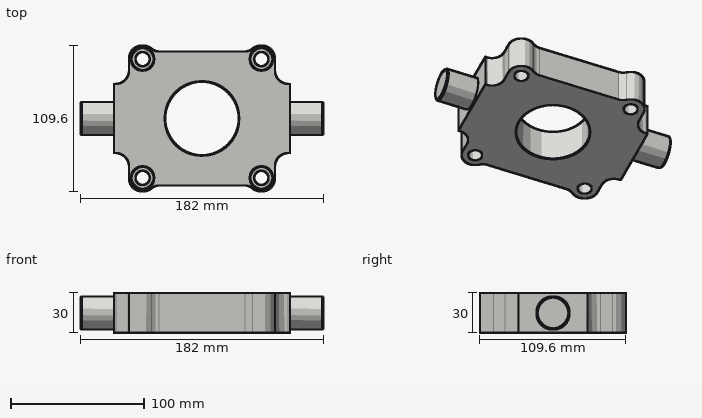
import cadquery as cq
import math

overall_length = 182.0
overall_width = 109.6

plate_length = 132.0
plate_width = 100.6
plate_thickness = 30.0
tab_width = 52.0

screw_spacing = 89.0
lug_offset = screw_spacing / 2
lug_edge = overall_width / 2
lug_radius = lug_edge - lug_offset
lug_blend_radius = 9.0
notch_radius = 9.8

screw_hole_diameter = 10.5
counterbore_diameter = 16.5
counterbore_depth = 11.0
counterbore_chamfer = 0.5

bore_diameter = 55.0
bore_chamfer = 0.5

pin_diameter = 25.0
pin_length = (overall_length - plate_length) / 2
pin_chamfer = 1.0


def point_on_circle(center, radius, angle):
    return (center[0] + radius * math.cos(angle), center[1] + radius * math.sin(angle))


def make_quarter():
    """Plate quarter at +X +Y, running from the tab end round the lug to the long side."""
    half_length = plate_length / 2
    half_width = plate_width / 2
    half_tab = tab_width / 2

    notch_center = (lug_edge + notch_radius, half_tab + notch_radius)
    notch_middle = point_on_circle(notch_center, notch_radius, math.radians(225))

    center_distance = lug_radius + lug_blend_radius
    blend_center_y = half_width + lug_blend_radius
    center_line_angle = math.pi - math.asin((blend_center_y - lug_offset) / center_distance)
    lug_center = (lug_offset, lug_offset)
    blend_center = point_on_circle(lug_center, center_distance, center_line_angle)
    lug_end = point_on_circle(lug_center, lug_radius, center_line_angle)
    lug_middle = point_on_circle(lug_center, lug_radius, center_line_angle / 2)
    blend_start_angle = center_line_angle - math.pi
    blend_middle_angle = (blend_start_angle - math.pi / 2) / 2
    blend_middle = point_on_circle(blend_center, lug_blend_radius, blend_middle_angle)

    return (
        cq.Workplane("XY", origin=(0, 0, -plate_thickness / 2))
        .lineTo(half_length, 0)
        .lineTo(half_length, half_tab)
        .lineTo(notch_center[0], half_tab)
        .threePointArc(notch_middle, (lug_edge, notch_center[1]))
        .lineTo(lug_edge, lug_offset)
        .threePointArc(lug_middle, lug_end)
        .threePointArc(blend_middle, (blend_center[0], half_width))
        .lineTo(0, half_width)
        .close()
        .extrude(plate_thickness)
    )


def make_plate():
    """Plate symmetric about X and Y, mirrored from one quarter."""
    quarter = make_quarter()
    half = quarter.union(quarter.mirror("YZ"))
    return half.union(half.mirror("XZ")).clean()


def make_pin():
    """Trunnion pin on the +X end of the plate, chamfered at its free end."""
    return (
        cq.Workplane("YZ", origin=(plate_length / 2, 0, 0))
        .circle(pin_diameter / 2)
        .extrude(pin_length)
        .faces(">X")
        .chamfer(pin_chamfer)
    )


def make_countersink(diameter, chamfer):
    """Cone that breaks the top edge of a round opening."""
    radius = diameter / 2
    top = plate_thickness / 2
    return (
        cq.Workplane("XZ")
        .moveTo(0, top)
        .lineTo(radius + chamfer, top)
        .lineTo(radius, top - chamfer)
        .lineTo(0, top - chamfer)
        .close()
        .revolve(360, (0, 0, 0), (0, 1, 0))
    )


def cut_bore(body):
    """Central through bore with both edges chamfered."""
    bore = cq.Workplane("XY").circle(bore_diameter / 2).extrude(plate_thickness, both=True)
    edge_break = make_countersink(bore_diameter, bore_chamfer)
    return body.cut(bore).cut(edge_break).cut(edge_break.mirror("XY"))


def cut_screw_holes(body):
    """Four counterbored holes, open at the top, one through each lug."""
    edge_break = make_countersink(counterbore_diameter, counterbore_chamfer)
    body = (
        body.copyWorkplane(cq.Workplane("XY", origin=(0, 0, plate_thickness / 2)))
        .rect(screw_spacing, screw_spacing, forConstruction=True)
        .vertices()
        .cboreHole(screw_hole_diameter, counterbore_diameter, counterbore_depth)
    )
    for side_x in (-1, 1):
        for side_y in (-1, 1):
            body = body.cut(edge_break.translate((side_x * lug_offset, side_y * lug_offset, 0)))
    return body


pin = make_pin()
blank = make_plate().union(pin).union(pin.mirror("YZ"))
result = cut_screw_holes(cut_bore(blank))